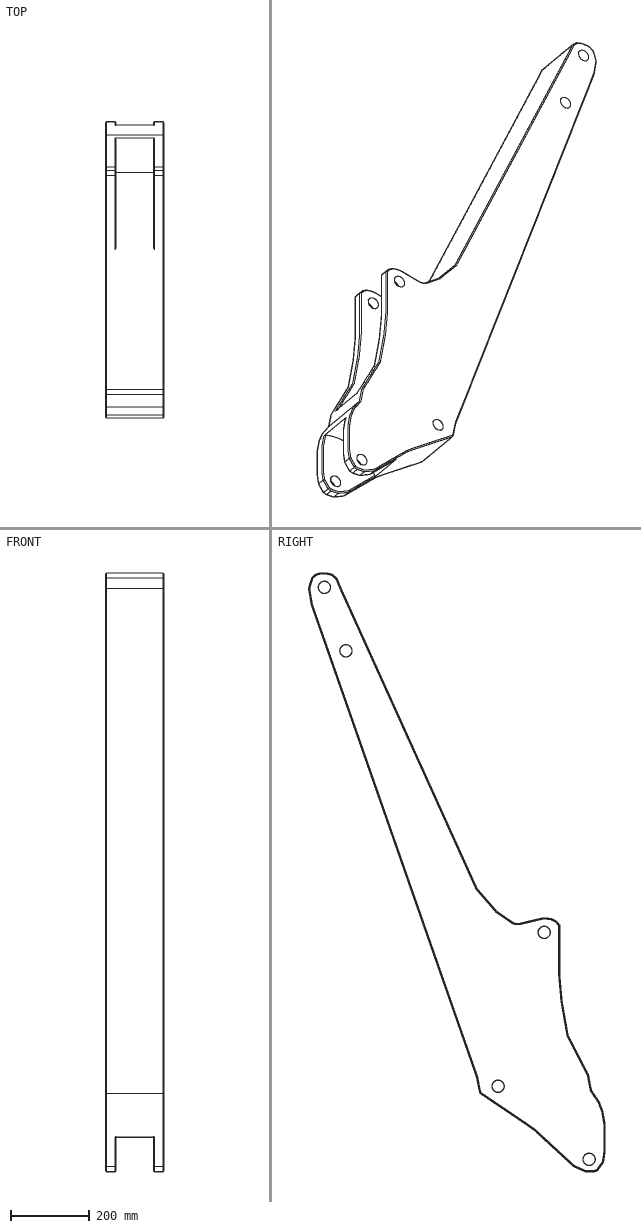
import cadquery as cq

arm_width = 150.0
arm_depth = 759.0
arm_height = 1533.0
half_depth = arm_depth / 2
plate_thickness = 28.0
edge_chamfer = 3.0
pin_diameter = 30.0
pivot_clearance_radius = 133.0

pivot_pin = (339.0, 32.0)
front_pin = (106.0, 219.0)
bracket_pin = (224.0, 613.0)
link_pin = (-284.0, 1334.0)
tip_pin = (-339.0, 1496.0)

front_edge = [
    (299.0, 14.0),
    (200.0, 106.0),
    (178.0, 121.0),
    (60.0, 201.0),
    (57.0, 210.0),
    (50.0, 242.0),
    (-372.0, 1452.0),
    (-half_depth, 1493.0),
    (-377.0, 1502.0),
    (-371.0, 1520.0),
]
tip_round_middle = (-366.0, 1525.0)
tip_round_end = (-360.0, 1530.0)
tip_back = (-295.0, 1490.0)
tip_edge = [(-351.0, arm_height), (-331.0, arm_height), (-319.0, 1530.0), (-307.0, 1519.0), tip_back]
throat_top = (52.0, 725.0)
throat_bottom = (103.0, 667.0)
throat_round_start = (143.0, 639.0)
throat_round_middle = (152.0, 636.0)
throat_round_end = (161.0, 636.0)
bracket_edge = [
    (219.0, 650.0),
    (230.0, 650.0),
    (242.0, 648.0),
    (255.0, 642.0),
    (264.0, 632.0),
    (264.0, 506.0),
    (270.0, 437.0),
    (285.0, 350.0),
]
step_top = (337.0, 248.0)
pivot_edge = [
    (345.0, 208.0),
    (365.0, 180.0),
    (374.0, 155.0),
    (half_depth, 124.0),
    (half_depth, 49.0),
    (375.0, 25.0),
    (360.0, 3.0),
    (351.0, 0.0),
    (330.0, 0.0),
]

core_bend_y = 250.0
back_slope = (throat_top[1] - tip_back[1]) / (throat_top[0] - tip_back[0])
core_bend = (core_bend_y, throat_top[1] + back_slope * (core_bend_y - throat_top[0]))

core_width = arm_width - 2 * plate_thickness


def add_lines(path, points):
    """Continue an outline through the given corners."""
    for point in points:
        path = path.lineTo(*point)
    return path


def front_and_tip(workplane):
    """Start an outline with the part shared by the plates and the core."""
    path = add_lines(workplane.moveTo(*front_edge[0]), front_edge[1:])
    path = path.threePointArc(tip_round_middle, tip_round_end)
    return add_lines(path, tip_edge)


def side_plate(start_x):
    """One side plate, chamfered all round on both faces."""
    path = front_and_tip(cq.Workplane("YZ", origin=(start_x, 0, 0)))
    path = add_lines(path, [throat_top, throat_bottom, throat_round_start])
    path = path.threePointArc(throat_round_middle, throat_round_end)
    path = add_lines(path, bracket_edge + [step_top] + pivot_edge)
    plate = path.close().extrude(plate_thickness)
    return plate.faces("<X or >X").edges().chamfer(edge_chamfer)


def cylinder_across(center, diameter, width):
    """Cylinder along X, centred on the YZ plane."""
    return cq.Workplane("YZ").center(*center).circle(diameter / 2).extrude(width / 2, both=True)


def core():
    """Solid between the plates, cut back round the pivot pin to leave an open fork."""
    width = core_width + 2 * edge_chamfer
    path = add_lines(front_and_tip(cq.Workplane("YZ")), [core_bend, step_top] + pivot_edge)
    body = path.close().extrude(width / 2, both=True)
    return body.cut(cylinder_across(pivot_pin, 2 * pivot_clearance_radius, width))


plate_starts = (-arm_width / 2, core_width / 2)
result = core()
for plate_start in plate_starts:
    result = result.union(side_plate(plate_start))

for pin in (pivot_pin, front_pin, bracket_pin, link_pin, tip_pin):
    result = result.cut(cylinder_across(pin, pin_diameter, arm_width))